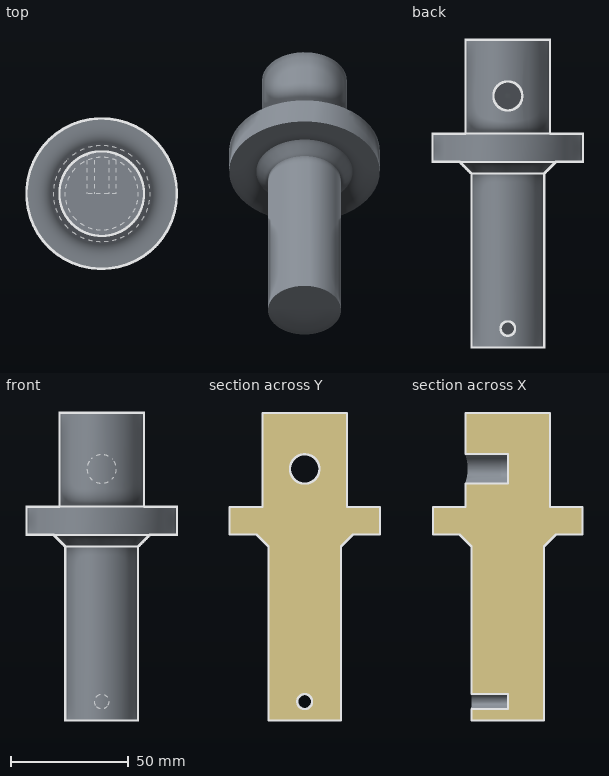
import cadquery as cq

total_height = 131.0
upper_shaft_length = 40.0
flange_thickness = 12.0
cone_height = 5.0

upper_shaft_diameter = 36.0
flange_diameter = 64.0
lower_shaft_diameter = 31.0
upper_hole_diameter = 12.3
lower_hole_diameter = 6.2

upper_hole_above_flange = 16.0
lower_hole_height = 8.1

flange_top = total_height - upper_shaft_length
flange_bottom = flange_top - flange_thickness
cone_bottom = flange_bottom - cone_height

upper_radius = upper_shaft_diameter / 2
flange_radius = flange_diameter / 2
lower_radius = lower_shaft_diameter / 2
cone_radius = lower_radius + cone_height


def turned_body():
    """Stepped shaft with a flange and a flared shoulder below it, base at Z = 0."""
    return (
        cq.Workplane("XZ")
        .lineTo(lower_radius, 0)
        .lineTo(lower_radius, cone_bottom)
        .lineTo(cone_radius, flange_bottom)
        .lineTo(flange_radius, flange_bottom)
        .lineTo(flange_radius, flange_top)
        .lineTo(upper_radius, flange_top)
        .lineTo(upper_radius, total_height)
        .lineTo(0, total_height)
        .close()
        .revolve(360, (0, 0, 0), (0, 1, 0))
    )


def radial_hole(diameter, height):
    """Cutter for a blind hole from the +Y side, ending on the shaft axis."""
    return cq.Workplane("XZ").center(0, height).circle(diameter / 2).extrude(-flange_radius)


upper_hole = radial_hole(upper_hole_diameter, flange_top + upper_hole_above_flange)
lower_hole = radial_hole(lower_hole_diameter, lower_hole_height)

result = turned_body().cut(upper_hole).cut(lower_hole)